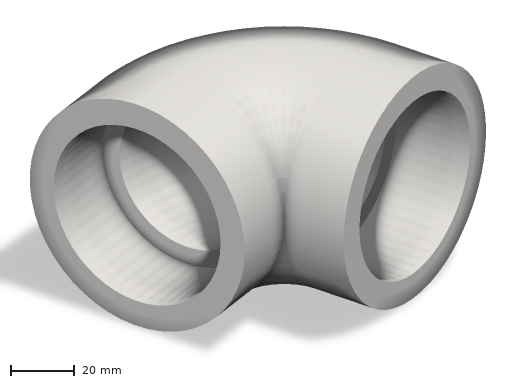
import cadquery as cq

overall_length = 103.5
outer_diameter = 81.0
socket_diameter = 62.9
bore_diameter = 50.5
socket_depth = 27.7

outer_radius = outer_diameter / 2
bend_radius = outer_radius
collar_length = overall_length - outer_diameter

pivot_x = overall_length / 2 - collar_length
pivot_y = -overall_length / 2 + collar_length


def quarter_bend(diameter):
    """Quarter turn joining the -Y leg to the +X leg."""
    return (
        cq.Workplane("XZ")
        .center(-bend_radius, 0)
        .circle(diameter / 2)
        .revolve(90, (bend_radius, 0), (bend_radius, -1))
    )


def leg_cylinders(diameter, length):
    """Cylinders running inward from both open ends of the elbow."""
    front_leg = (
        cq.Workplane("XZ", origin=(-bend_radius, -collar_length, 0))
        .circle(diameter / 2)
        .extrude(-length)
    )
    side_leg = (
        cq.Workplane("YZ", origin=(collar_length, bend_radius, 0))
        .circle(diameter / 2)
        .extrude(-length)
    )
    return front_leg, side_leg


elbow = quarter_bend(outer_diameter)
for collar in leg_cylinders(outer_diameter, collar_length):
    elbow = elbow.union(collar)

elbow = elbow.cut(quarter_bend(bore_diameter))
for socket in leg_cylinders(socket_diameter, socket_depth):
    elbow = elbow.cut(socket)

result = elbow.translate((pivot_x, pivot_y, 0))